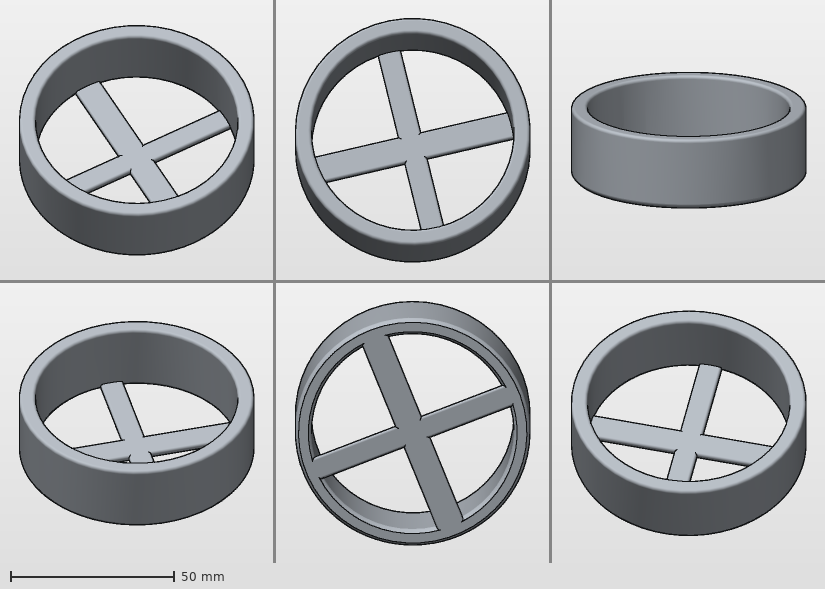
import cadquery as cq

outer_diameter = 72.0
inner_diameter = 62.0
height = 22.0
rim_fillet = 1.0
base_chamfer = 1.0
bevel_fillet = 1.0

x_spoke_width = 8.5
y_spoke_width = 7.05
spoke_thickness = 2.0
spoke_edge_fillet = 0.8


def make_ring():
    """Open ring with a rounded top rim and softened bevels along both base edges."""
    ring = cq.Workplane("XY").circle(outer_diameter / 2).circle(inner_diameter / 2).extrude(height)
    ring = ring.faces(">Z").edges().fillet(rim_fillet)
    ring = ring.faces("<Z").edges().chamfer(base_chamfer)

    bevel_top_zone = cq.selectors.BoxSelector(
        (-outer_diameter, -outer_diameter, base_chamfer / 2),
        (outer_diameter, outer_diameter, base_chamfer * 1.5),
    )
    return ring.edges(bevel_top_zone).edges("%CIRCLE").fillet(bevel_fillet)


def make_cross():
    """Two crossing spokes with rounded upper and lower edges, ending inside the ring wall."""
    x_spoke = cq.Workplane("XY").rect(outer_diameter, x_spoke_width).extrude(spoke_thickness)
    y_spoke = cq.Workplane("XY").rect(y_spoke_width, outer_diameter).extrude(spoke_thickness)
    cross = x_spoke.union(y_spoke)
    cross = cross.faces("|Z").edges().fillet(spoke_edge_fillet)

    mid_wall_diameter = (outer_diameter + inner_diameter) / 2
    trim_disc = cq.Workplane("XY").circle(mid_wall_diameter / 2).extrude(spoke_thickness)
    return cross.intersect(trim_disc)


result = make_ring().union(make_cross())